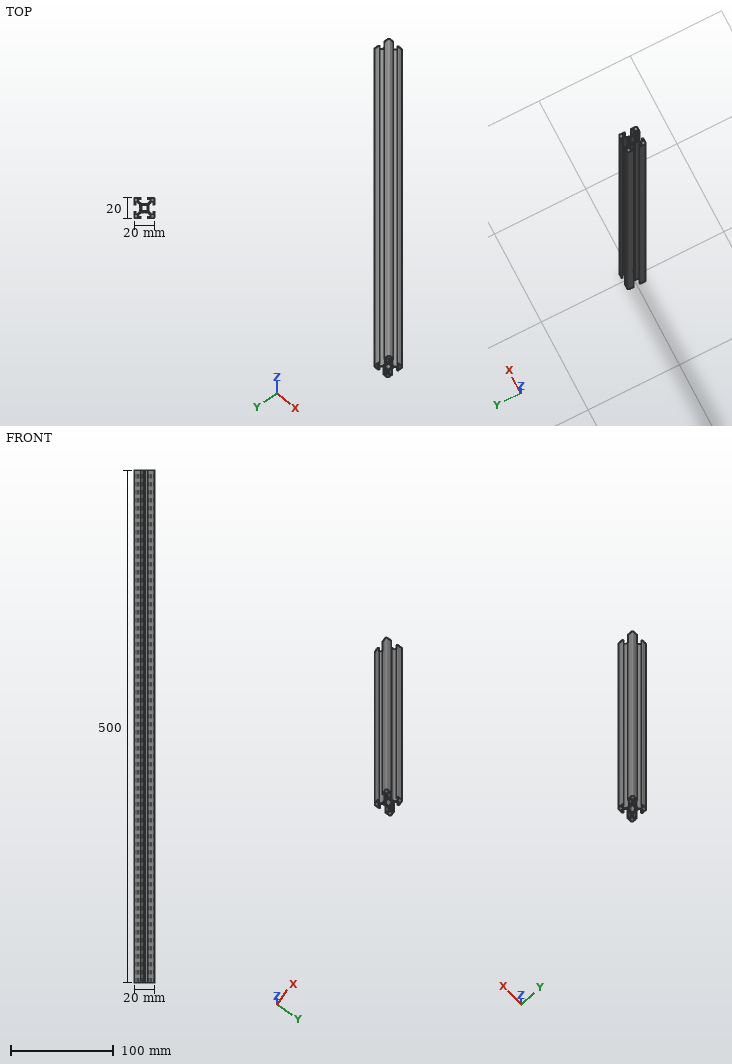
import cadquery as cq
import math

SIZE = 20.0
LENGTH = 500.0
HALF_SIZE = SIZE / 2
CORNER_RADIUS = 1.5
SIDES = 4

MOUTH_HALF_WIDTH = 3.4
LIP_RADIUS = 0.37
LIP_THICKNESS = 1.5
LIP_UNDERSIDE = HALF_SIZE - LIP_THICKNESS

CAVITY_HALF_WIDTH = 6.0
WEB_THICKNESS = 1.2
WEB_OFFSET = WEB_THICKNESS / 2 * math.sqrt(2)
CAVITY_WALL_FOOT = CAVITY_HALF_WIDTH + WEB_OFFSET

FLOOR_DISTANCE = 4.35
FLOOR_HALF_WIDTH = FLOOR_DISTANCE - WEB_OFFSET
FLOOR_FILLET = 0.75

GROOVE_HALF_WIDTH = 1.0
GROOVE_SLOPE_DEG = 30.0
GROOVE_DEPTH = GROOVE_HALF_WIDTH * math.tan(math.radians(GROOVE_SLOPE_DEG))

CHANNEL_SIZE = 5.5
CHANNEL_CORNER_RADIUS = 0.25


def lengthwise_edge(x, y):
    """Selector for the full-length edge that passes through (x, y)."""
    return cq.selectors.NearestToPointSelector((x, y, LENGTH / 2))


def bar(width, corner_radius):
    """Full-length square bar with rounded corners."""
    return cq.Workplane("XY").rect(width, width).extrude(LENGTH).edges("|Z").fillet(corner_radius)


def slot():
    """Solid that fills the slot in the +Y side."""
    right_half = [
        (GROOVE_HALF_WIDTH, FLOOR_DISTANCE),
        (FLOOR_HALF_WIDTH, FLOOR_DISTANCE),
        (CAVITY_HALF_WIDTH, CAVITY_WALL_FOOT),
        (CAVITY_HALF_WIDTH, LIP_UNDERSIDE),
        (MOUTH_HALF_WIDTH, LIP_UNDERSIDE),
        (MOUTH_HALF_WIDTH, HALF_SIZE),
    ]
    left_half = [(-x, y) for x, y in reversed(right_half)]
    groove_bottom = (0, FLOOR_DISTANCE - GROOVE_DEPTH)
    outline = [groove_bottom] + right_half + left_half
    body = cq.Workplane("XY").polyline(outline).close().extrude(LENGTH)
    for side in (-1, 1):
        floor_corner = lengthwise_edge(side * FLOOR_HALF_WIDTH, FLOOR_DISTANCE)
        body = body.edges(floor_corner).fillet(FLOOR_FILLET)
    return body


def cut_slots(body):
    """Cut the slot into all four sides."""
    for index in range(SIDES):
        body = body.cut(slot().rotate((0, 0, 0), (0, 0, 1), index * 360 / SIDES))
    return body


def round_lips(body):
    """Round the outer edges of the lips at each slot mouth."""
    for face in (-1, 1):
        for side in (-1, 1):
            across = side * MOUTH_HALF_WIDTH
            outward = face * HALF_SIZE
            body = body.edges(lengthwise_edge(across, outward)).fillet(LIP_RADIUS)
            body = body.edges(lengthwise_edge(outward, across)).fillet(LIP_RADIUS)
    return body


profile = round_lips(cut_slots(bar(SIZE, CORNER_RADIUS)))
result = profile.cut(bar(CHANNEL_SIZE, CHANNEL_CORNER_RADIUS))